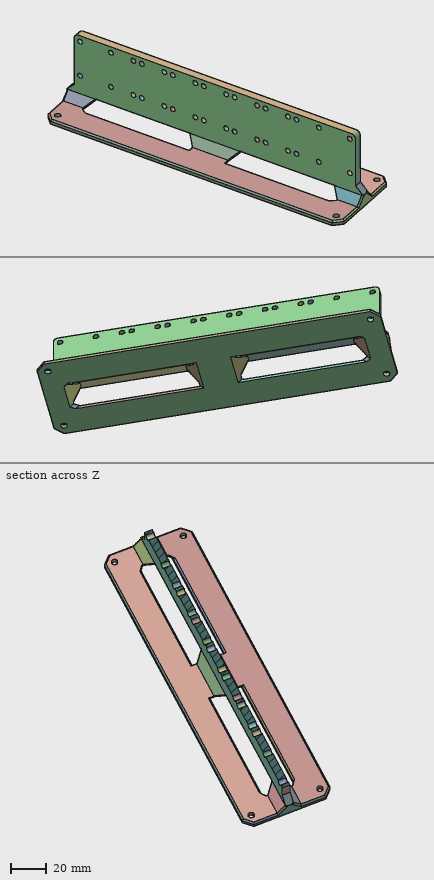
import cadquery as cq

length = 200.0
base_width = 55.0
base_thickness = 3.0
corner_cut = 5.0
edge_bevel = 1.0
base_hole_diameter = 3.5
base_hole_inset = 6.0

total_height = 48.0
wall_thickness = 5.0
ramp_size = 5.0
wall_corner_radius = 3.0
ramp_top = base_thickness + ramp_size
wall_half_length = length / 2 - ramp_size

wall_hole_diameter = 3.2
wall_hole_inset = 4.0
row_spacing = 23.5
series_count = 8
series_start = wall_half_length - wall_hole_inset
series_end = -55.0
series_pitch = (series_start - series_end) / (series_count - 1)

window_width = 20.0
window_bottom_inner = 10.0
window_bottom_outer = 87.5
window_corner_cut = 2.0

TOLERANCE = 0.02


def make_foot():
    """Base plate with the ramps, bevelled along its upper outer edges."""
    plate = (
        cq.Workplane("XY")
        .rect(length, base_width)
        .extrude(base_thickness)
        .edges("|Z")
        .chamfer(corner_cut)
    )
    ramp_half_width = wall_thickness / 2 + ramp_size
    ramps = (
        cq.Workplane("YZ", origin=(-length / 2, 0, 0))
        .moveTo(-ramp_half_width, 0)
        .lineTo(-ramp_half_width, base_thickness)
        .lineTo(-wall_thickness / 2, ramp_top)
        .lineTo(wall_thickness / 2, ramp_top)
        .lineTo(ramp_half_width, base_thickness)
        .lineTo(ramp_half_width, 0)
        .close()
        .extrude(length)
    )
    foot = plate.union(ramps)
    return bevel_edges(foot, is_outer_edge)


def bevel_edges(body, selected):
    """Bevel the edges for which selected(edge) is true."""
    edges = [edge for edge in body.edges().vals() if selected(edge)]
    return body.newObject(edges).chamfer(edge_bevel)


def lies_on_upper_side(edge):
    """True for edges on the plate's upper face or running up a ramp."""
    box = edge.BoundingBox()
    return base_thickness - TOLERANCE < box.zmin < ramp_top - TOLERANCE


def is_outer_edge(edge):
    """True for the upper rim of the plate and the ramp edges at both ends."""
    center = edge.Center()
    on_end = abs(center.x) > length / 2 - corner_cut
    on_side = abs(center.y) > base_width / 2 - corner_cut
    return lies_on_upper_side(edge) and (on_end or on_side)


def is_window_edge(edge):
    """True for the upper rim of the windows, ramps included."""
    center = edge.Center()
    in_reach = window_bottom_inner < abs(center.x) < window_bottom_outer
    within_width = abs(center.y) < window_width / 2 + TOLERANCE
    return lies_on_upper_side(edge) and in_reach and within_width


def make_window(side):
    """Cutter for the window on the given side (+1 or -1) of the middle web."""
    cutter = (
        cq.Workplane("XZ", origin=(0, window_width / 2, 0))
        .moveTo(side * window_bottom_inner, 0)
        .lineTo(side * (window_bottom_inner + ramp_top), ramp_top)
        .lineTo(side * (window_bottom_outer - ramp_top), ramp_top)
        .lineTo(side * window_bottom_outer, 0)
        .close()
        .extrude(window_width)
    )
    outer_end = cutter.faces(">X" if side > 0 else "<X")
    return outer_end.edges("not |Y").chamfer(window_corner_cut)


def make_wall():
    """Upright wall, flared at both ends down to the full base length."""
    wall = (
        cq.Workplane("XZ", origin=(0, wall_thickness / 2, 0))
        .moveTo(-length / 2, ramp_top)
        .lineTo(-wall_half_length, ramp_top + ramp_size)
        .lineTo(-wall_half_length, total_height)
        .lineTo(wall_half_length, total_height)
        .lineTo(wall_half_length, ramp_top + ramp_size)
        .lineTo(length / 2, ramp_top)
        .close()
        .extrude(wall_thickness)
    )
    return wall.faces(">Z").edges("|Y").fillet(wall_corner_radius)


def make_wall_holes():
    """Cutters for both rows of mounting holes."""
    top_row = total_height - wall_hole_inset
    series = [series_start - i * series_pitch for i in range(series_count)]
    points = [
        (side * x, z)
        for side in (-1, 1)
        for x in series
        for z in (top_row, top_row - row_spacing)
    ]
    return (
        cq.Workplane("XZ", origin=(0, wall_thickness / 2, 0))
        .pushPoints(points)
        .circle(wall_hole_diameter / 2)
        .extrude(wall_thickness)
    )


def make_base_holes():
    """Cutters for the four corner holes of the base plate."""
    return (
        cq.Workplane("XY")
        .rect(length - 2 * base_hole_inset, base_width - 2 * base_hole_inset, forConstruction=True)
        .vertices()
        .circle(base_hole_diameter / 2)
        .extrude(base_thickness)
    )


foot = make_foot()
for side in (-1, 1):
    foot = foot.cut(make_window(side))
foot = bevel_edges(foot, is_window_edge)
result = foot.union(make_wall()).cut(make_wall_holes()).cut(make_base_holes())